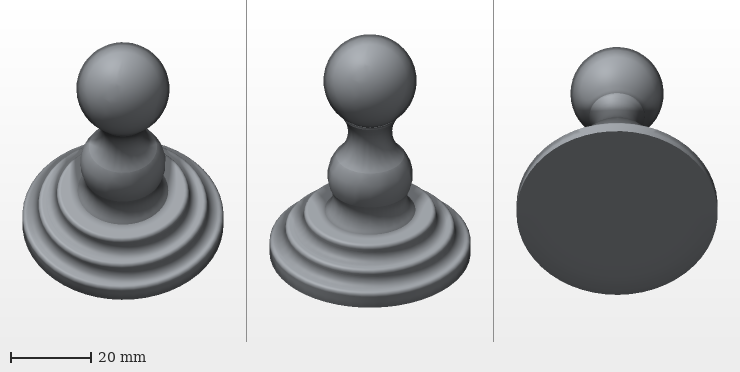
import cadquery as cq
import math

total_height = 62.69

tier_radii = [25.02, 21.05, 16.45]
tier_tops = [4.25, 8.4, 12.7]
tier_edge_round = 1.05
cove_radius = 2.4

waist_radius = 9.3
waist_height = 17.1
waist_arc_radius = 5.9
bulb_radius = 10.65
bulb_height = 23.5
bulb_bottom = 19.95
bulb_top = 29.05
neck_radius = 5.5
neck_height = 36.0

collar_radius = 6.9
collar_bottom = 41.0
collar_top = 41.65
ball_radius = 11.6
ball_center_height = total_height - ball_radius


def hollow_radius(height, smallest_radius, smallest_height, arc_radius):
    """Post radius at a height on a concave arc around its narrowest point."""
    rise = height - smallest_height
    return smallest_radius + arc_radius - math.sqrt(arc_radius**2 - rise**2)


def quarter_arc_middle(center, radius, direction):
    """Middle point of a quarter arc; direction holds the signs of its quadrant."""
    offset = radius * math.sin(math.pi / 4)
    return (center[0] + direction[0] * offset, center[1] + direction[1] * offset)


def make_base():
    """Three tiers with rounded top edges, joined by concave quarter-round coves."""
    profile = cq.Workplane("XZ").moveTo(0, 0).lineTo(-tier_radii[0], 0)
    last_tier = len(tier_radii) - 1
    for tier, (radius, top) in enumerate(zip(tier_radii, tier_tops)):
        round_center = (-radius + tier_edge_round, top - tier_edge_round)
        profile = (
            profile.lineTo(-radius, round_center[1])
            .threePointArc(
                quarter_arc_middle(round_center, tier_edge_round, (-1, 1)),
                (round_center[0], top),
            )
        )
        if tier < last_tier:
            next_radius = tier_radii[tier + 1]
            cove_center = (-next_radius - cove_radius, top + cove_radius)
            profile = (
                profile.lineTo(cove_center[0], top)
                .threePointArc(
                    quarter_arc_middle(cove_center, cove_radius, (1, -1)),
                    (-next_radius, cove_center[1]),
                )
            )
    profile = profile.lineTo(0, tier_tops[-1]).close()
    return profile.revolve(360, (0, 0, 0), (0, 1, 0))


def make_post():
    """Waist, bulb, neck, collar and ball as one turned profile."""
    post_bottom = tier_tops[-1]
    foot_radius = hollow_radius(post_bottom, waist_radius, waist_height, waist_arc_radius)
    bulb_bottom_radius = hollow_radius(bulb_bottom, waist_radius, waist_height, waist_arc_radius)

    neck_rise = collar_bottom - neck_height
    neck_flare = collar_radius - neck_radius
    neck_arc_radius = (neck_rise**2 + neck_flare**2) / (2 * neck_flare)
    bulb_top_radius = hollow_radius(bulb_top, neck_radius, neck_height, neck_arc_radius)

    ball_drop = ball_center_height - collar_top
    ball_foot_radius = math.sqrt(ball_radius**2 - ball_drop**2)

    profile = (
        cq.Workplane("YZ")
        .moveTo(0, post_bottom)
        .lineTo(-foot_radius, post_bottom)
        .threePointArc((-waist_radius, waist_height), (-bulb_bottom_radius, bulb_bottom))
        .threePointArc((-bulb_radius, bulb_height), (-bulb_top_radius, bulb_top))
        .threePointArc((-neck_radius, neck_height), (-collar_radius, collar_bottom))
        .lineTo(-collar_radius, collar_top)
        .lineTo(-ball_foot_radius, collar_top)
        .threePointArc((-ball_radius, ball_center_height), (0, total_height))
        .close()
    )
    return profile.revolve(360, (0, 0, 0), (0, 1, 0))


result = make_base().union(make_post())